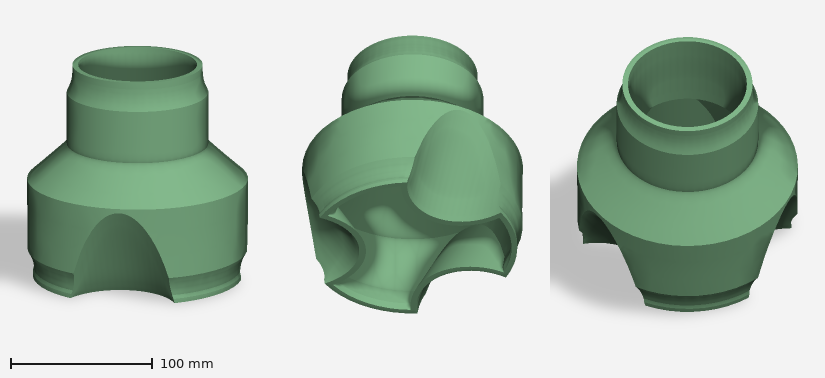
import cadquery as cq
import math

wall = 4.0
shoulder_wall = 6.0
neck_bore_radius = 84.0 / 2
neck_tip_radius = 92.0 / 2
neck_radius = 100.0 / 2
body_radius = 156.0 / 2
body_foot_radius = 77.7
rim_bore_radius = 140.0 / 2
rim_radius = 74.0
groove_radius = 73.2

rim_top = 3.1
groove_bottom = 5.8
body_foot = 20.0
body_top = 71.5
neck_foot = 97.3
neck_flare = 135.1
neck_tip = 150.4
total_height = 155.2

scallop_count = 3
first_scallop_angle = 60.0
scallop_radius = neck_bore_radius
scallop_wall_radius = neck_tip_radius
scallop_lean = 30.5
scallop_apex_height = 68.5
cutter_length = 468.0


def concave_arc_middle(throat_radius, throat_height, flare_radius, flare_height):
    """Middle of an arc that leaves the throat parallel to Z and flares outward."""
    rise = flare_height - throat_height
    spread = flare_radius - throat_radius
    arc_radius = (rise**2 + spread**2) / (2 * spread)
    half_angle = math.asin(abs(rise) / arc_radius) / 2
    radius = throat_radius + arc_radius * (1 - math.cos(half_angle))
    height = throat_height + math.copysign(arc_radius * math.sin(half_angle), rise)
    return radius, height


def outer_body():
    foot_arc = concave_arc_middle(groove_radius, groove_bottom, body_foot_radius, body_foot)
    neck_arc = concave_arc_middle(neck_tip_radius, neck_tip, neck_radius, neck_flare)
    return (
        cq.Workplane("XZ")
        .lineTo(rim_radius, 0)
        .lineTo(rim_radius, rim_top)
        .lineTo(groove_radius, groove_bottom)
        .threePointArc(foot_arc, (body_foot_radius, body_foot))
        .lineTo(body_radius, body_top)
        .lineTo(neck_radius, neck_foot)
        .lineTo(neck_radius, neck_flare)
        .threePointArc(neck_arc, (neck_tip_radius, neck_tip))
        .lineTo(neck_tip_radius, total_height)
        .lineTo(0, total_height)
        .close()
        .revolve(360, (0, 0, 0), (0, 1, 0))
    )


def inner_cavity():
    cone_run = body_radius - neck_radius
    cone_rise = neck_foot - body_top
    cone_drop = shoulder_wall * math.hypot(cone_run, cone_rise) / cone_run
    slope = cone_rise / cone_run
    cavity_radius = body_radius - wall
    shoulder_low = body_top + wall * slope - cone_drop
    shoulder_high = shoulder_low + (cavity_radius - neck_bore_radius) * slope
    return (
        cq.Workplane("XZ")
        .lineTo(rim_bore_radius, 0)
        .lineTo(rim_bore_radius, groove_bottom)
        .lineTo(body_foot_radius - wall, body_foot)
        .lineTo(cavity_radius, shoulder_low)
        .lineTo(neck_bore_radius, shoulder_high)
        .lineTo(neck_bore_radius, total_height)
        .lineTo(0, total_height)
        .close()
        .revolve(360, (0, 0, 0), (0, 1, 0))
    )


def leaning_cylinder(radius, angle):
    """Cylinder leaning outward, coaxial with the scallop at the given angle around Z."""
    lean = math.radians(scallop_lean)
    axis_at_apex = body_radius + scallop_radius / math.cos(lean)
    direction = cq.Vector(math.sin(lean), 0, math.cos(lean))
    start = cq.Vector(axis_at_apex, 0, scallop_apex_height) - direction * (cutter_length / 2)
    cylinder = cq.Solid.makeCylinder(radius, cutter_length, start, direction)
    return cylinder.rotate(cq.Vector(0, 0, 0), cq.Vector(0, 0, 1), angle)


shell = outer_body()
cavity = inner_cavity()
scallop_angles = [first_scallop_angle + i * 360 / scallop_count for i in range(scallop_count)]

for angle in scallop_angles:
    cavity = cavity.cut(cq.Workplane(obj=leaning_cylinder(scallop_wall_radius, angle)))

shell = shell.cut(cavity)

for angle in scallop_angles:
    shell = shell.cut(cq.Workplane(obj=leaning_cylinder(scallop_radius, angle)))

result = shell